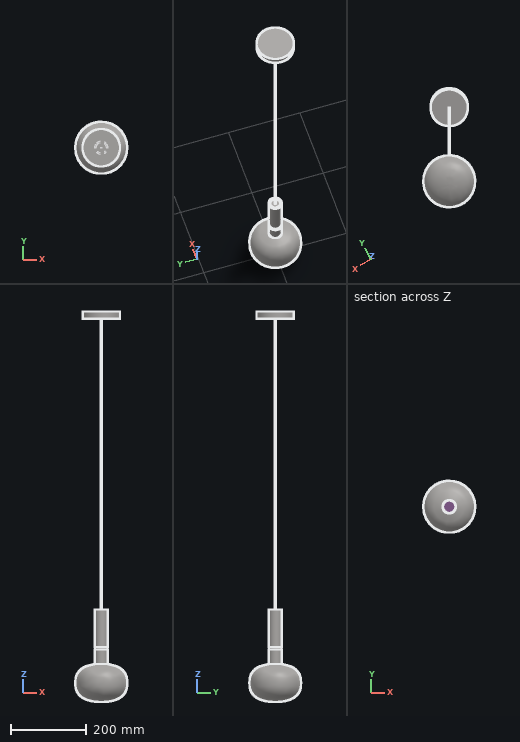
import cadquery as cq
import math

total_height = 1041.0

globe_diameter = 140.0
globe_height = 102.0
roundness_exponent = 2.4
profile_steps = 12
seat_depth = 1.0

holder_diameter = 35.0
holder_height = 146.0
rim_thickness = 4.0
rim_height = 1.0
groove_bottom_height = 40.0
groove_width = 6.0
groove_depth = 0.5

cord_diameter = 3.0

canopy_diameter = 100.0
canopy_height = 20.0

holder_bottom = globe_height - seat_depth
holder_top = holder_bottom + holder_height
cord_bottom = holder_top - rim_height
canopy_bottom = total_height - canopy_height


def cylinder(diameter, bottom, height):
    """Solid cylinder on the Z axis."""
    return cq.Workplane("XY").workplane(offset=bottom).circle(diameter / 2).extrude(height)


def make_globe():
    """Superellipse-shaped globe with a flat seat for the holder at its upper pole."""
    globe_radius = globe_diameter / 2
    half_height = globe_height / 2
    power = 2 / roundness_exponent
    profile_points = []
    for step in range(profile_steps + 1):
        angle = math.pi * step / profile_steps
        radius = globe_radius * math.sin(angle) ** power if 0 < step < profile_steps else 0
        rise = half_height * math.copysign(abs(math.cos(angle)) ** power, math.cos(angle))
        profile_points.append((radius, half_height - rise))
    profile = cq.Workplane("XZ").spline(profile_points, tangents=[(1, 0), (-1, 0)]).close()
    body = profile.revolve(360, (0, 0, 0), (0, 1, 0))
    return body.cut(cylinder(holder_diameter, holder_bottom, seat_depth))


def make_holder():
    """Lamp holder with a thin raised rim on top and a shallow groove around it."""
    groove_bottom = holder_bottom + groove_bottom_height
    groove = cylinder(holder_diameter, groove_bottom, groove_width).cut(
        cylinder(holder_diameter - 2 * groove_depth, groove_bottom, groove_width)
    )
    top_recess = cylinder(holder_diameter - 2 * rim_thickness, cord_bottom, rim_height)
    return cylinder(holder_diameter, holder_bottom, holder_height).cut(groove).cut(top_recess)


globe = make_globe()
holder = make_holder()
cord = cylinder(cord_diameter, cord_bottom, canopy_bottom - cord_bottom)
canopy = cylinder(canopy_diameter, canopy_bottom, canopy_height)

result = cq.Compound.makeCompound([globe.val(), holder.val(), cord.val(), canopy.val()])